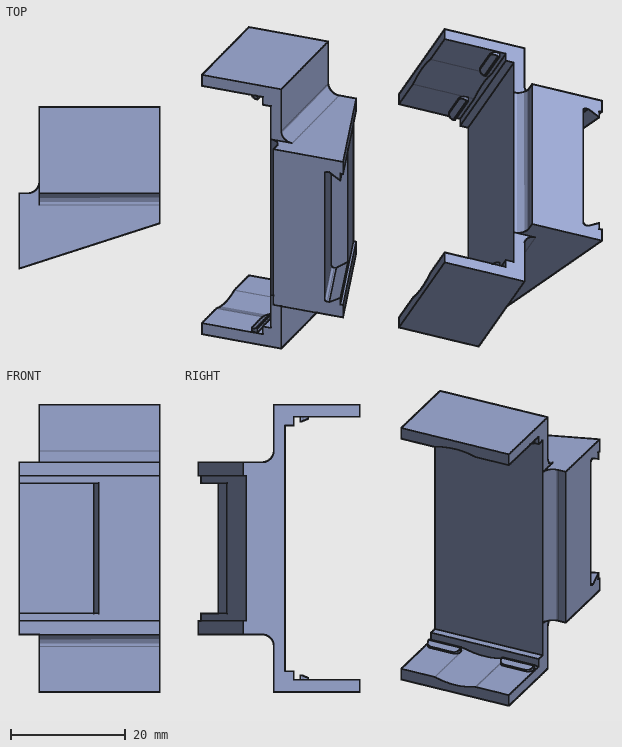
import cadquery as cq
import math

width = 24.5
half_height = 25.0
arm_length = 15.0
tip_reach = 13.15

bracket_left = 3.5
wall_thickness = 2.0
arm_thickness = 2.15
step_size = 1.5
arm_inner = half_height - arm_thickness
bracket_width = width - bracket_left

block_half_height = 15.0
slope_rise = 7.9
slope_angle = math.degrees(math.atan2(slope_rise, width))
fillet_radius = 2.0

channel_depth = 0.5
channel_half_height = 12.6
pocket_depth = 3.5
mouth_half_height = 11.3
undercut_half_height = 12.5
undercut_flat = 0.9
pocket_corner_radius = 0.45
pocket_mouth_end = 14.0

hollow_width = 8.0
hollow_depth = 0.6
catch_front = 4.6
catch_crest = 4.9
catch_back = 6.05
catch_height = 0.8
catch_back_height = 0.3
catch_corner_radius = 1.0
catch_end_gap = 0.25

overrun = 2.5
bracket_middle = bracket_left + bracket_width / 2
hollow_left = bracket_middle - hollow_width / 2


def with_mirror(upper):
    """Join an upper feature with its mirror image below Z = 0."""
    return upper.union(upper.mirror("XY"))


def front_y(x):
    """Y of the sloped front face at a given X."""
    return -tip_reach + slope_rise * x / width


def make_bracket_half():
    profile = [
        (0, 0),
        (0, half_height),
        (arm_length, half_height),
        (arm_length, arm_inner),
        (wall_thickness + step_size, arm_inner),
        (wall_thickness + step_size, arm_inner - step_size),
        (wall_thickness, arm_inner - step_size),
        (wall_thickness, 0),
    ]
    half = cq.Workplane("YZ", origin=(bracket_left, 0, 0)).polyline(profile).close().extrude(bracket_width)
    left_catch = make_catch(bracket_left + catch_end_gap, hollow_left)
    right_catch = make_catch(hollow_left + hollow_width, width - catch_end_gap)
    return half.cut(make_hollow()).union(left_catch).union(right_catch)


def make_hollow():
    """Shallow arc trough along Y, cut into the arm from the step to the free end."""
    return (
        cq.Workplane("XZ", origin=(0, arm_length, 0))
        .moveTo(hollow_left, arm_inner)
        .threePointArc((bracket_middle, arm_inner + hollow_depth), (hollow_left + hollow_width, arm_inner))
        .close()
        .extrude(arm_length - wall_thickness - step_size)
    )


def make_catch(start, end):
    """Ridge with a steep face toward the wall and a ramp toward the free end of the arm."""
    profile = [
        (catch_front, arm_inner),
        (catch_front, arm_inner - catch_height),
        (catch_crest, arm_inner - catch_height),
        (catch_back, arm_inner - catch_back_height),
        (catch_back, arm_inner),
    ]
    ridge = cq.Workplane("YZ", origin=(start, 0, 0)).polyline(profile).close().extrude(end - start)
    return ridge.edges("|Z and >Y").fillet(catch_corner_radius)


def make_block():
    """Wedge whose back blends into the left side of the wall with a concave fillet."""
    diagonal = fillet_radius * math.sqrt(0.5)
    fillet_middle = (bracket_left - fillet_radius + diagonal, fillet_radius - diagonal)
    return (
        cq.Workplane("XY", origin=(0, 0, -block_half_height))
        .moveTo(0, front_y(0))
        .lineTo(width, front_y(width))
        .lineTo(width, wall_thickness)
        .lineTo(bracket_left, wall_thickness)
        .threePointArc(fillet_middle, (bracket_left - fillet_radius, 0))
        .lineTo(0, 0)
        .close()
        .extrude(2 * block_half_height)
    )


def make_wall_fillet():
    """Concave fillet between the wall front and the top of the block."""
    diagonal = fillet_radius * math.sqrt(0.5)
    arc_middle = (-fillet_radius + diagonal, block_half_height + fillet_radius - diagonal)
    return (
        cq.Workplane("YZ", origin=(bracket_left, 0, 0))
        .moveTo(0, block_half_height)
        .lineTo(-fillet_radius, block_half_height)
        .threePointArc(arc_middle, (0, block_half_height + fillet_radius))
        .close()
        .extrude(bracket_width)
    )


def make_channel():
    """Shallow channel along the whole sloped face."""
    plan = [
        (0, front_y(0) - overrun),
        (width, front_y(width) - overrun),
        (width, front_y(width) + channel_depth),
        (0, front_y(0) + channel_depth),
    ]
    base = cq.Workplane("XY", origin=(0, 0, -channel_half_height))
    return base.polyline(plan).close().extrude(2 * channel_half_height)


def make_pocket():
    """Dovetail pocket along the slope, open at the left, with an end wall square to the slope."""
    depth_scale = math.cos(math.radians(slope_angle))
    floor = pocket_depth * depth_scale
    flat_start = (pocket_depth - undercut_flat) * depth_scale
    lip = channel_depth * depth_scale
    length = pocket_mouth_end / depth_scale
    upper_profile = [
        (-overrun, 0),
        (floor, 0),
        (floor, undercut_half_height),
        (flat_start, undercut_half_height),
        (lip, mouth_half_height),
        (-overrun, mouth_half_height),
    ]
    upper = (
        cq.Workplane("YZ", origin=(-overrun, 0, 0))
        .polyline(upper_profile)
        .close()
        .extrude(length + overrun)
        .edges("|X and >Y and >Z")
        .fillet(pocket_corner_radius)
    )
    pocket = with_mirror(upper)
    return pocket.rotate((0, 0, 0), (0, 0, 1), slope_angle).translate((0, -tip_reach, 0))


bracket = with_mirror(make_bracket_half())
block = make_block().union(with_mirror(make_wall_fillet()))
result = bracket.union(block).cut(make_channel()).cut(make_pocket())